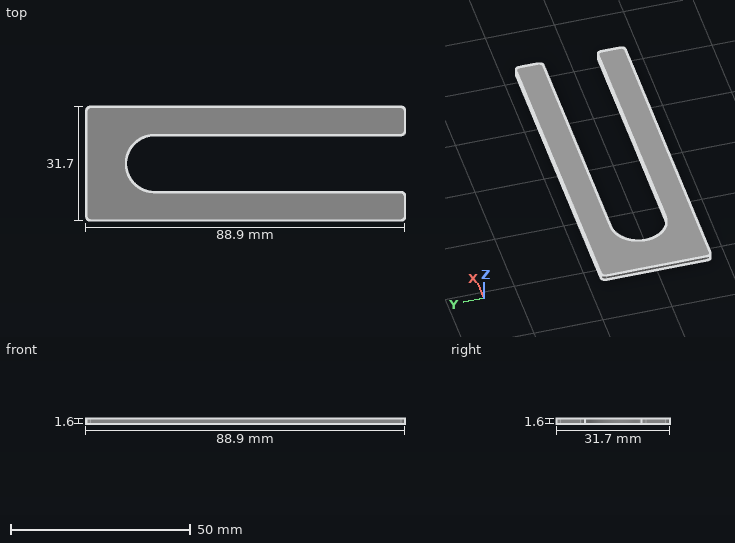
import cadquery as cq

length = 88.9
width = 31.7
thickness = 1.6
corner_radius = 1.25

slot_width = 15.8
end_wall = 11.1

slot_radius = slot_width / 2
slot_center_x = end_wall + slot_radius

plate = cq.Workplane("XY").box(length, width, thickness, centered=(False, True, False))

slot = (
    cq.Workplane("XY")
    .moveTo(length, slot_radius)
    .lineTo(slot_center_x, slot_radius)
    .threePointArc((end_wall, 0), (slot_center_x, -slot_radius))
    .lineTo(length, -slot_radius)
    .close()
    .extrude(thickness)
)

forked_plate = plate.edges("|Z and <X").fillet(corner_radius).cut(slot)
result = forked_plate.faces(">X").edges("|Z").fillet(corner_radius)